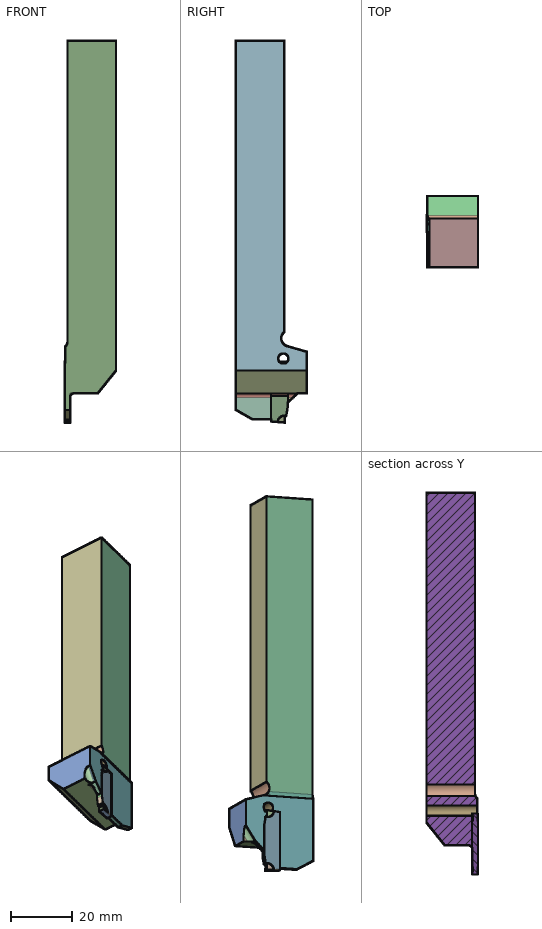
import cadquery as cq
import math


top_z = 125
shank_size = 16.0
right_x = 17.0
shank_left_x = right_x - shank_size

insert_width = 2.0
insert_length = 20.1
insert_front_y = 11.6
edge_y = 16.1
insert_back_y = 17.1
end_relief = 0.4
rake_length = 1.8
ramp_y = 16.6
ramp_start = 2.4
ramp_end = 5.2
corner_radius = 0.2
recess_radius = 2.4
recess_depth = 0.2

head_back_y = 23.4
head_bottom_z = 9.6
head_chamfer_x = 6.0
head_chamfer_z = 7.5
blade_left_x = 0.2
blade_right_x = 1.9
blade_bottom_z = 1.1
blade_root_radius = 1.4
blade_chamfer_y = 5.5
blade_chamfer_z = 3.1

step_top_z = 26.5
step_radius = 2.0

groove_radius = 2.6
groove_offset = 1.6
groove_y = shank_size + groove_offset
groove_z = 27.6
head_slope = math.radians(16)

relief_top_z = 14.4
relief_bend_y = 20.2
relief_end_z = 6.6
relief_floor_x = 2.5
relief_fillet = 1.5

hole_diameter = 3.2
hole_y = 15.6
hole_z = 21.0


def holder_side_outline():
    """Holder outline in the YZ plane, extruded over the full width."""
    groove_start_z = groove_z + math.sqrt(groove_radius**2 - (groove_y - shank_size) ** 2)
    groove_end_y = groove_y - groove_radius * math.sin(head_slope)
    groove_end_z = groove_z - groove_radius * math.cos(head_slope)
    head_top_z = groove_end_z - (head_back_y - groove_end_y) * math.tan(head_slope)
    return (
        cq.Workplane("YZ")
        .moveTo(0, top_z)
        .lineTo(shank_size, top_z)
        .lineTo(shank_size, groove_start_z)
        .threePointArc((groove_y - groove_radius, groove_z), (groove_end_y, groove_end_z))
        .lineTo(head_back_y, head_top_z)
        .lineTo(head_back_y, head_bottom_z)
        .lineTo(relief_bend_y, head_bottom_z)
        .lineTo(insert_back_y, relief_end_z)
        .lineTo(insert_front_y, relief_end_z)
        .lineTo(insert_front_y, blade_bottom_z)
        .lineTo(blade_chamfer_y, blade_bottom_z)
        .lineTo(0, blade_bottom_z + blade_chamfer_z)
        .close()
        .extrude(right_x)
    )


def holder_front_outline():
    """Holder outline in the XZ plane, extruded from front to back."""
    step_height = shank_left_x - blade_left_x
    step_length = math.sqrt(2 * step_radius * step_height - step_height**2)
    return (
        cq.Workplane("XZ")
        .moveTo(shank_left_x, top_z)
        .lineTo(right_x, top_z)
        .lineTo(right_x, head_bottom_z + head_chamfer_z)
        .lineTo(right_x - head_chamfer_x, head_bottom_z)
        .lineTo(blade_right_x + blade_root_radius, head_bottom_z)
        .radiusArc((blade_right_x, head_bottom_z - blade_root_radius), -blade_root_radius)
        .lineTo(blade_right_x, 0)
        .lineTo(blade_left_x, 0)
        .lineTo(blade_left_x, step_top_z - step_length)
        .radiusArc((shank_left_x, step_top_z), -step_radius)
        .close()
        .extrude(-head_back_y)
    )


def relief_cutter():
    """Sloped cut into the lower back corner, rounded where its wall meets its floor."""
    slope_y = head_back_y - relief_bend_y
    slope_z = relief_top_z - head_bottom_z
    return (
        cq.Workplane("YZ")
        .moveTo(relief_bend_y - slope_y, head_bottom_z - slope_z)
        .lineTo(head_back_y + slope_y, relief_top_z + slope_z)
        .lineTo(head_back_y + slope_y, head_bottom_z - slope_z)
        .close()
        .extrude(relief_floor_x)
        .faces(">X")
        .edges("not (|Y or |Z)")
        .fillet(relief_fillet)
    )


def insert_blank():
    """Plain insert prism, symmetric end to end; also the shape of its seat."""
    top = insert_length
    return (
        cq.Workplane("YZ")
        .moveTo(insert_front_y, end_relief)
        .lineTo(edge_y, 0)
        .lineTo(edge_y, rake_length)
        .lineTo(ramp_y, ramp_start)
        .lineTo(insert_back_y, ramp_end)
        .lineTo(insert_back_y, top - ramp_end)
        .lineTo(ramp_y, top - ramp_start)
        .lineTo(edge_y, top - rake_length)
        .lineTo(edge_y, top)
        .lineTo(insert_front_y, top - end_relief)
        .close()
        .extrude(insert_width)
    )


def side_recess():
    """Round-edged recess beside the lower cutting edge, deepening away from the edge."""
    wedge = (
        cq.Workplane("XZ")
        .polyline([(0, 0), (0, recess_radius), (recess_depth, recess_radius)])
        .close()
        .extrude(-head_back_y)
    )
    disc = cq.Workplane("YZ").center(edge_y, 0).circle(recess_radius).extrude(insert_width)
    return wedge.intersect(disc)


def make_holder():
    holder = holder_side_outline().intersect(holder_front_outline())
    hole = cq.Workplane("YZ").center(hole_y, hole_z).circle(hole_diameter / 2).extrude(right_x)
    return holder.cut(relief_cutter()).cut(hole).cut(insert_blank())


def make_insert():
    end_edges = insert_blank().faces("<Z or >Z")
    insert = end_edges.edges("not |X").edges("<X or >X").fillet(corner_radius)
    middle = (insert_width / 2, 0, insert_length / 2)
    left_recess = side_recess()
    right_recess = left_recess.mirror("YZ", middle)
    for recess in (left_recess, right_recess):
        insert = insert.cut(recess).cut(recess.mirror("XY", middle))
    return insert


holder = make_holder()
insert = make_insert()
result = cq.Compound.makeCompound([holder.solids().val(), insert.solids().val()])